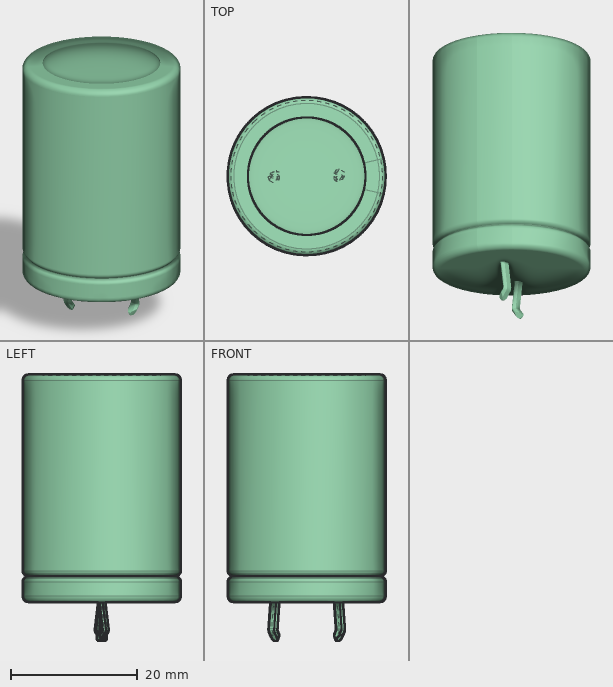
import cadquery as cq
import math

CAN_DIAMETER = 25.0
CAN_HEIGHT = 36.0
RIM_RADIUS = 1.0
TOP_RECESS_DIAMETER = 18.57
TOP_RECESS_DEPTH = 0.2

GROOVE_Z = 4.1
GROOVE_DIAMETER = 23.95
GROOVE_FLOOR_HEIGHT = 0.08
GROOVE_FLANK_ANGLE = 45.0
GROOVE_LIP_RADIUS = 0.72

STRIPE_ANGLE = 26.0

PIN_PITCH = 10.05
PIN_LENGTH = 6.14
PIN_WIDTH = 1.64
PIN_THICKNESS = 0.85
PIN_CHAMFER = 0.35
PIN_TURN = -30.0
PIN_EMBED = 0.6
SHANK_LEAN = 8.0
TIP_LEAN = 39.0
BEND_START_Z = -4.2
BEND_RADIUS = 0.55
POINT_WIDTH = 0.2
POINT_WIDTH_TAPER = 1.15
POINT_THICKNESS = 0.35
POINT_THICKNESS_TAPER = 0.22


def sleeve_section():
    """Closed half section of the sleeve and wall, outside the recessed disc, in the XZ plane."""
    wall = CAN_DIAMETER / 2
    floor = GROOVE_DIAMETER / 2
    inner = TOP_RECESS_DIAMETER / 2
    rim_middle = RIM_RADIUS * (1 - math.sqrt(0.5))

    flank = math.radians(GROOVE_FLANK_ANGLE)
    lip_x = wall - GROOVE_LIP_RADIUS * (1 - math.cos(flank))
    mid_lip_x = wall - GROOVE_LIP_RADIUS * (1 - math.cos(flank / 2))
    floor_dz = GROOVE_FLOOR_HEIGHT / 2
    lip_dz = floor_dz + (lip_x - floor) / math.tan(flank)
    wall_dz = lip_dz + GROOVE_LIP_RADIUS * math.sin(flank)
    mid_lip_dz = wall_dz - GROOVE_LIP_RADIUS * math.sin(flank / 2)

    return (
        cq.Workplane("XZ")
        .moveTo(inner, 0)
        .lineTo(wall - RIM_RADIUS, 0)
        .threePointArc((wall - rim_middle, rim_middle), (wall, RIM_RADIUS))
        .lineTo(wall, GROOVE_Z - wall_dz)
        .threePointArc((mid_lip_x, GROOVE_Z - mid_lip_dz), (lip_x, GROOVE_Z - lip_dz))
        .lineTo(floor, GROOVE_Z - floor_dz)
        .lineTo(floor, GROOVE_Z + floor_dz)
        .lineTo(lip_x, GROOVE_Z + lip_dz)
        .threePointArc((mid_lip_x, GROOVE_Z + mid_lip_dz), (wall, GROOVE_Z + wall_dz))
        .lineTo(wall, CAN_HEIGHT - RIM_RADIUS)
        .threePointArc((wall - rim_middle, CAN_HEIGHT - rim_middle), (wall - RIM_RADIUS, CAN_HEIGHT))
        .lineTo(inner, CAN_HEIGHT)
        .close()
    )


def sleeve_sector(start_angle, sweep_angle):
    """Part of the sleeve ring, counted counter-clockwise from +X as seen from above."""
    sector = sleeve_section().revolve(sweep_angle, (0, 0, 0), (0, 1, 0))
    return sector.rotate((0, 0, 0), (0, 0, 1), start_angle)


def can():
    """Recessed core inside the ring; the stripe keeps its own faces, so nothing is merged."""
    core = cq.Workplane("XY").circle(TOP_RECESS_DIAMETER / 2).extrude(CAN_HEIGHT - TOP_RECESS_DEPTH)
    half_stripe = STRIPE_ANGLE / 2
    stripe = sleeve_sector(-half_stripe, STRIPE_ANGLE)
    rest = sleeve_sector(half_stripe, 360 - STRIPE_ANGLE)
    return core.union(rest, clean=False).union(stripe, clean=False)


def point_wedge(plane, side, full_size, end_size, taper_length):
    """Wedge that narrows the pin's end from full_size to end_size on one side."""
    return (
        cq.Workplane(plane)
        .moveTo(side * end_size / 2, 0)
        .lineTo(side * full_size / 2, 0)
        .lineTo(side * full_size / 2, taper_length)
        .close()
        .extrude(PIN_WIDTH, both=True)
    )


def pin():
    """Bent, pointed strip whose shank crosses z = 0 on the Z axis; it leans along Y."""
    shank = math.radians(SHANK_LEAN)
    tip = math.radians(TIP_LEAN)

    start = (PIN_EMBED * math.tan(shank), PIN_EMBED)
    bend = (BEND_START_Z * math.tan(shank), BEND_START_Z)
    centre = (bend[0] + BEND_RADIUS * math.cos(shank), bend[1] - BEND_RADIUS * math.sin(shank))

    def on_bend(angle):
        return (centre[0] - BEND_RADIUS * math.cos(angle), centre[1] - BEND_RADIUS * math.sin(angle))

    bend_end = on_bend(tip)
    end_z = -PIN_LENGTH + POINT_THICKNESS / 2 * math.sin(tip)
    tip_length = (bend_end[1] - end_z) / math.cos(tip)
    end = (bend_end[0] + tip_length * math.sin(tip), end_z)

    path = (
        cq.Workplane("YZ")
        .moveTo(*start)
        .lineTo(*bend)
        .threePointArc(on_bend((tip - shank) / 2), bend_end)
        .lineTo(*end)
    )
    section_plane = cq.Plane(
        origin=(0, *start), xDir=(1, 0, 0), normal=(0, -math.sin(shank), -math.cos(shank))
    )
    half_width = PIN_WIDTH / 2
    half_thickness = PIN_THICKNESS / 2
    strip = (
        cq.Workplane(section_plane)
        .polyline(
            [
                (half_width, half_thickness - PIN_CHAMFER),
                (half_width - PIN_CHAMFER, half_thickness),
                (PIN_CHAMFER - half_width, half_thickness),
                (-half_width, half_thickness - PIN_CHAMFER),
                (-half_width, PIN_CHAMFER - half_thickness),
                (PIN_CHAMFER - half_width, -half_thickness),
                (half_width - PIN_CHAMFER, -half_thickness),
                (half_width, PIN_CHAMFER - half_thickness),
            ]
        )
        .close()
        .sweep(path)
    )

    across_normal = (0, -math.cos(tip), -math.sin(tip))
    across = cq.Plane(origin=(0, *end), xDir=(1, 0, 0), normal=across_normal)
    through = cq.Plane(origin=(0, *end), xDir=across_normal, normal=(-1, 0, 0))
    for side in (-1, 1):
        strip = strip.cut(point_wedge(across, side, PIN_WIDTH, POINT_WIDTH, POINT_WIDTH_TAPER))
        strip = strip.cut(point_wedge(through, side, PIN_THICKNESS, POINT_THICKNESS, POINT_THICKNESS_TAPER))
    return strip


result = can()
for turn in (0, 180):
    placed = pin().rotate((0, 0, 0), (0, 0, 1), PIN_TURN).translate((-PIN_PITCH / 2, 0, 0))
    result = result.union(placed.rotate((0, 0, 0), (0, 0, 1), turn), clean=False)